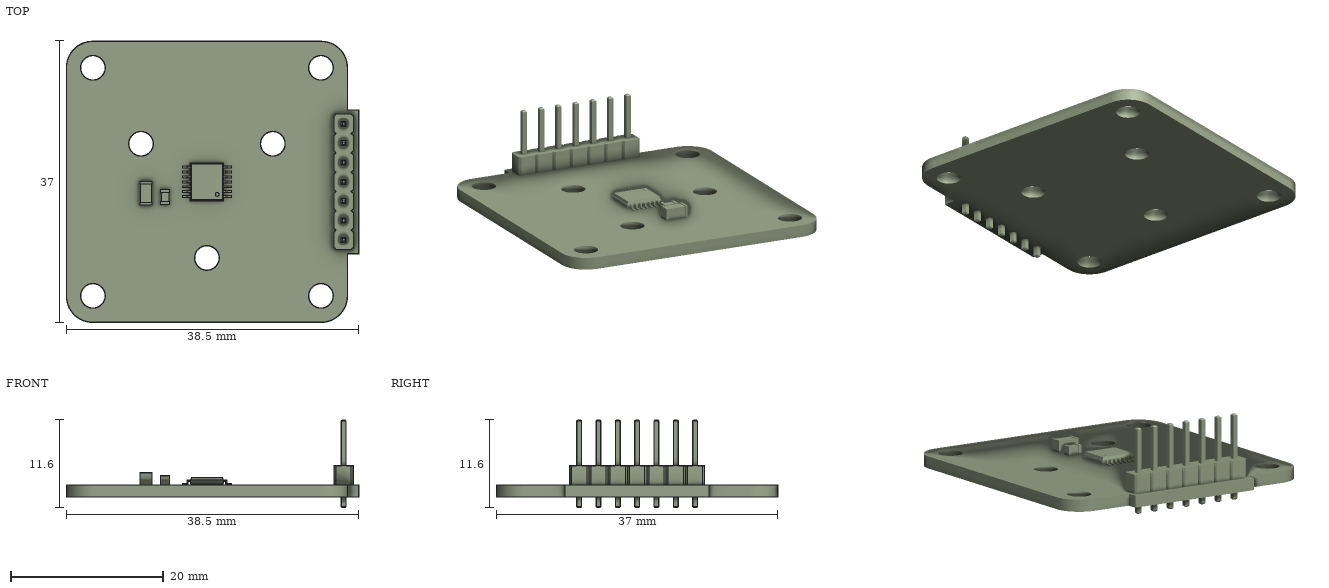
import cadquery as cq


board_side = 37.0
board_thickness = 1.6
corner_radius = 3.5
mount_hole_diameter = 3.2
corner_hole_offset = board_side / 2 - corner_radius
sensor_hole_circle_radius = 10.0
sensor_hole_count = 3
sensor_hole_start_angle = 30
tab_length = 18.95
overall_length = 38.5
tab_edge_x = overall_length - board_side / 2

pin_count = 7
pitch = 2.55
header_x = 17.98
header_height = pitch
cell_chamfer = 0.27
pin_width = 0.65
pin_length = 11.55
pin_above_board = 8.55
pin_bottom_z = pin_above_board - pin_length
pin_tip_chamfer = 0.15
pin_hole_diameter = 1.0
pin_places = [(header_x, (i - (pin_count - 1) / 2) * pitch) for i in range(pin_count)]

ic_width = 4.4
ic_length = 5.0
ic_bottom_z = 0.1
ic_top_z = 1.0
ic_ledge = 0.08
ic_draft_angle = 12
lead_count = 7
lead_row_length = 3.9
lead_pitch = lead_row_length / (lead_count - 1)
lead_width = 0.25
lead_thickness = 0.15
lead_shoulder_x = 2.6
lead_tip_x = 3.25
lead_top_z = 0.6
lead_bottom_z = lead_top_z - lead_thickness
index_mark_diameter = 0.5
index_mark_depth = 0.08
index_mark_place = (1.35, -1.65)

large_chip_place = (-8.0, -1.5)
large_chip_length = 3.1
large_chip_width = 1.6
large_chip_height = 1.6
large_chip_terminal = 0.35
large_chip_inset = 0.08

small_chip_place = (-5.5, -2.0)
small_chip_length = 2.0
small_chip_width = 1.25
small_chip_height = 1.25
small_chip_terminal = 0.4
small_chip_inset = 0.1


def make_board():
    """Rounded square plate with an edge tab, mounting holes and header pin holes."""
    plate = cq.Workplane("XY").workplane(offset=-board_thickness)
    square = plate.rect(board_side, board_side).extrude(board_thickness).edges("|Z").fillet(corner_radius)
    tab = plate.center(tab_edge_x / 2, 0).rect(tab_edge_x, tab_length).extrude(board_thickness)
    board = square.union(tab)

    corner_spacing = 2 * corner_hole_offset
    top = cq.Workplane("XY")
    corner_holes = top.rect(corner_spacing, corner_spacing, forConstruction=True).vertices()
    sensor_holes = top.polarArray(
        sensor_hole_circle_radius, sensor_hole_start_angle, 360, sensor_hole_count
    )
    for holes in (corner_holes, sensor_holes):
        board = board.cut(holes.circle(mount_hole_diameter / 2).extrude(-board_thickness))
    pin_holes = top.pushPoints(pin_places).circle(pin_hole_diameter / 2).extrude(-board_thickness)
    return board.cut(pin_holes)


def make_header():
    """Row of chamfered square cells, each with a square pin through it."""
    header = cq.Workplane("XY")
    for x, y in pin_places:
        cell = cq.Workplane("XY").rect(pitch, pitch).extrude(header_height).edges("|Z").chamfer(cell_chamfer)
        pin = cq.Workplane("XY").workplane(offset=pin_bottom_z).rect(pin_width, pin_width).extrude(pin_length)
        pin = pin.faces("<Z or >Z").chamfer(pin_tip_chamfer)
        header = header.union(cell.union(pin).translate((x, y, 0)))
    return header


def make_lead():
    """Gull-wing lead on the +X side: flat shoulder, vertical leg and foot on the board."""
    profile = [
        (0, lead_top_z),
        (lead_shoulder_x, lead_top_z),
        (lead_shoulder_x, lead_thickness),
        (lead_tip_x, lead_thickness),
        (lead_tip_x, 0),
        (lead_shoulder_x - lead_thickness, 0),
        (lead_shoulder_x - lead_thickness, lead_bottom_z),
        (0, lead_bottom_z),
    ]
    return cq.Workplane("XZ").polyline(profile).close().extrude(lead_width / 2, both=True)


def make_ic():
    """Moulded package: straight band at lead height, drafted halves above and below, and leads."""
    band_bottom = cq.Workplane("XY").workplane(offset=lead_bottom_z)
    band_top = cq.Workplane("XY").workplane(offset=lead_top_z)
    ic = band_bottom.rect(ic_width, ic_length).extrude(lead_thickness)
    upper = band_top.rect(ic_width - 2 * ic_ledge, ic_length - 2 * ic_ledge)
    ic = ic.union(upper.extrude(ic_top_z - lead_top_z, taper=ic_draft_angle))
    lower = band_bottom.rect(ic_width, ic_length)
    ic = ic.union(lower.extrude(ic_bottom_z - lead_bottom_z, taper=ic_draft_angle))

    lead = make_lead()
    for i in range(lead_count):
        y = (i - (lead_count - 1) / 2) * lead_pitch
        ic = ic.union(lead.translate((0, y, 0)))
        ic = ic.union(lead.mirror("YZ").translate((0, y, 0)))

    mark = cq.Workplane("XY").workplane(offset=ic_top_z).center(*index_mark_place)
    return ic.cut(mark.circle(index_mark_diameter / 2).extrude(-index_mark_depth))


def make_chip(place, length, width, height, terminal, inset):
    """Chip component: a block capped at both Y ends by slightly larger terminals."""
    base = cq.Workplane("XY")
    chip = base.rect(width - 2 * inset, length - terminal).extrude(height - inset)
    for side in (-1, 1):
        end_y = side * (length - terminal) / 2
        chip = chip.union(base.center(0, end_y).rect(width, terminal).extrude(height))
    return chip.translate((*place, 0))


board = make_board()
header = make_header()
ic = make_ic()
large_chip = make_chip(
    large_chip_place,
    large_chip_length,
    large_chip_width,
    large_chip_height,
    large_chip_terminal,
    large_chip_inset,
)
small_chip = make_chip(
    small_chip_place,
    small_chip_length,
    small_chip_width,
    small_chip_height,
    small_chip_terminal,
    small_chip_inset,
)

result = cq.Compound.makeCompound(
    [board.val(), header.val(), ic.val(), large_chip.val(), small_chip.val()]
)